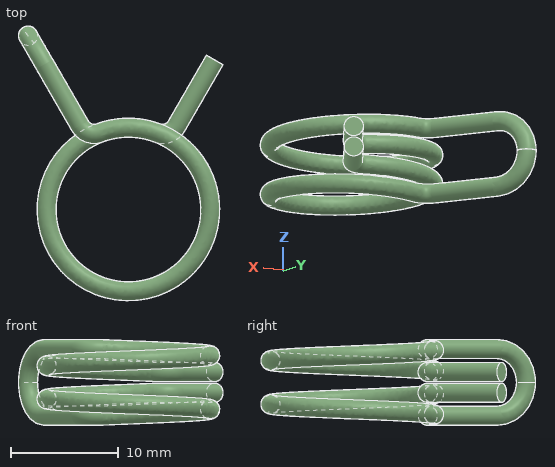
import cadquery as cq
import math


wire_radius = 0.9
overall_height = 8.0
coil_radius = 7.6
bend_radius = 1.5

handle_angle = 120.0
prong_angle = 60.0
handle_reach = 18.65
prong_reach = 16.05
prong_height = 0.96

handle_height = overall_height / 2 - wire_radius
handle_bow_radius = handle_height
handle_leg_end = handle_reach - handle_bow_radius
bend_centre_reach = coil_radius + bend_radius
bend_span = math.degrees(math.asin(bend_radius / bend_centre_reach))
leg_start = math.sqrt(bend_centre_reach**2 - bend_radius**2)
coil_start_angle = prong_angle + bend_span
coil_end_angle = handle_angle - bend_span
coil_turns = 1 + (coil_end_angle - coil_start_angle) / 360
coil_rise = handle_height - prong_height
coil_pitch = coil_rise / coil_turns


def polar_point(reach, angle, height):
    """Point at a distance and direction from the coil axis."""
    direction = math.radians(angle)
    return cq.Vector(reach * math.cos(direction), reach * math.sin(direction), height)


def bend_edge(leg_angle, coil_angle, height):
    """Level arc that turns a radial leg into the coil."""
    leg_point = polar_point(leg_start, leg_angle, height)
    coil_point = polar_point(coil_radius, coil_angle, height)
    centre = polar_point(bend_centre_reach, coil_angle, height)
    outward = ((leg_point + coil_point) * 0.5 - centre).normalized()
    return cq.Edge.makeThreePointArc(leg_point, centre + outward * bend_radius, coil_point)


def coil_edge():
    """Right-handed helix rising from the prong bend to the handle bend."""
    helix = cq.Wire.makeHelix(coil_pitch, coil_rise, coil_radius)
    placed = helix.rotate(cq.Vector(0, 0, 0), cq.Vector(0, 0, 1), coil_start_angle)
    return placed.translate(cq.Vector(0, 0, prong_height)).Edges()[0]


def handle_bow_edge():
    """Quarter circle from the handle leg down to the middle plane."""
    diagonal = math.sqrt(0.5) * handle_bow_radius
    return cq.Edge.makeThreePointArc(
        polar_point(handle_leg_end, handle_angle, handle_height),
        polar_point(handle_leg_end + diagonal, handle_angle, diagonal),
        polar_point(handle_reach, handle_angle, 0),
    )


def upper_half():
    """Wire of the upper coil, swept from the prong end to the middle of the handle."""
    prong_end = polar_point(prong_reach, prong_angle, prong_height)
    prong_root = polar_point(leg_start, prong_angle, prong_height)
    handle_root = polar_point(leg_start, handle_angle, handle_height)
    handle_leg = polar_point(handle_leg_end, handle_angle, handle_height)
    path = cq.Wire.assembleEdges([
        cq.Edge.makeLine(prong_end, prong_root),
        bend_edge(prong_angle, coil_start_angle, prong_height),
        coil_edge(),
        bend_edge(handle_angle, coil_end_angle, handle_height),
        cq.Edge.makeLine(handle_root, handle_leg),
        handle_bow_edge(),
    ])
    section = cq.Plane(origin=prong_end, normal=prong_root - prong_end)
    return cq.Workplane(section).circle(wire_radius).sweep(path, transition="transformed")


upper = upper_half()
result = upper.union(upper.mirror("XY"))